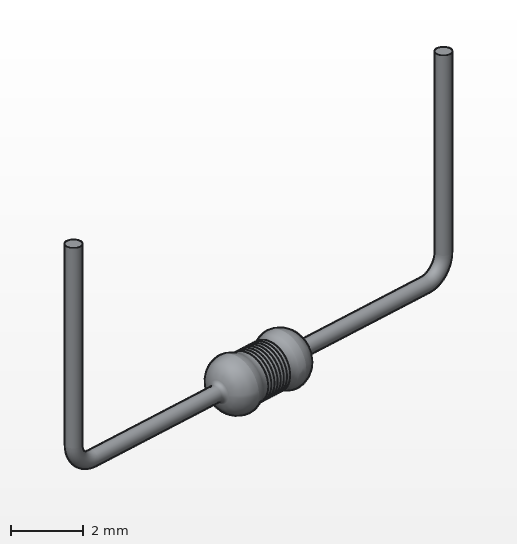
import cadquery as cq
import math

overall_length = 15.5
overall_height = 7.9
wire_diameter = 0.5
bend_radius = 0.75

bulge_diameter = 1.8
barrel_diameter = 1.53
band_diameter = 1.55
band_width = 0.127
band_count = 4

body_half_length = 1.75
bulge_offset = 0.96
shoulder_offset = 0.73
cap_radius = 0.65

barrel_half_length = (2 * band_count - 1) * band_width / 2
wire_radius = wire_diameter / 2
bulge_radius = bulge_diameter / 2
barrel_radius = barrel_diameter / 2
leg_offset = overall_length / 2 - wire_radius
leg_top = overall_height - bulge_radius


def point_on_arc(center, radius, angle):
    """Point of a profile circle, as (radial distance, position along Y)."""
    return (center[0] + radius * math.cos(angle), center[1] + radius * math.sin(angle))


def half_body():
    """The +Y half of the body, with all arcs of its profile tangent."""
    run = bulge_offset - barrel_half_length
    sweep = 2 * math.atan2(bulge_radius - barrel_radius, run)
    convex_radius = (bulge_offset - shoulder_offset) / math.sin(sweep)
    concave_radius = (shoulder_offset - barrel_half_length) / math.sin(sweep)
    convex_center = (bulge_radius - convex_radius, bulge_offset)
    concave_center = (barrel_radius + concave_radius, barrel_half_length)

    cap_center = (bulge_radius - cap_radius, bulge_offset)
    cap_run = body_half_length - bulge_offset
    rise = wire_radius - cap_center[0]
    neck_radius = (cap_run**2 + rise**2 - cap_radius**2) / (2 * (cap_radius - rise))
    neck_center = (wire_radius + neck_radius, body_half_length)
    cap_angle = math.atan2(cap_run, rise + neck_radius)
    neck_mid_angle = math.pi + cap_angle / 2

    profile = (
        cq.Workplane("XY")
        .lineTo(barrel_radius, 0)
        .lineTo(barrel_radius, barrel_half_length)
        .threePointArc(
            point_on_arc(concave_center, concave_radius, math.pi - sweep / 2),
            point_on_arc(concave_center, concave_radius, math.pi - sweep),
        )
        .threePointArc(
            point_on_arc(convex_center, convex_radius, -sweep / 2),
            (bulge_radius, bulge_offset),
        )
        .threePointArc(
            point_on_arc(cap_center, cap_radius, cap_angle / 2),
            point_on_arc(cap_center, cap_radius, cap_angle),
        )
        .threePointArc(
            point_on_arc(neck_center, neck_radius, neck_mid_angle),
            (wire_radius, body_half_length),
        )
        .lineTo(0, body_half_length)
        .close()
    )
    return profile.revolve(360, (0, 0, 0), (0, 1, 0))


def color_band(center):
    """A slightly raised ring around the barrel, at a position along Y."""
    section = cq.Workplane("XZ", origin=(0, center, 0)).circle(band_diameter / 2)
    return section.extrude(band_width / 2, both=True)


def half_wire():
    """The +Y lead from the body centre, through its bend, to its upper end."""
    bend_start = leg_offset - bend_radius
    bend_mid = (
        bend_start + bend_radius * math.sin(math.pi / 4),
        bend_radius * (1 - math.cos(math.pi / 4)),
    )
    path = (
        cq.Workplane("YZ")
        .lineTo(bend_start, 0)
        .threePointArc(bend_mid, (leg_offset, bend_radius))
        .lineTo(leg_offset, leg_top)
    )
    return cq.Workplane("XZ").circle(wire_radius).sweep(path)


half = half_body().union(half_wire())
result = half.union(half.mirror("XZ")).clean()
for index in range(band_count):
    band_center = (index - (band_count - 1) / 2) * 2 * band_width
    result = result.union(color_band(band_center))